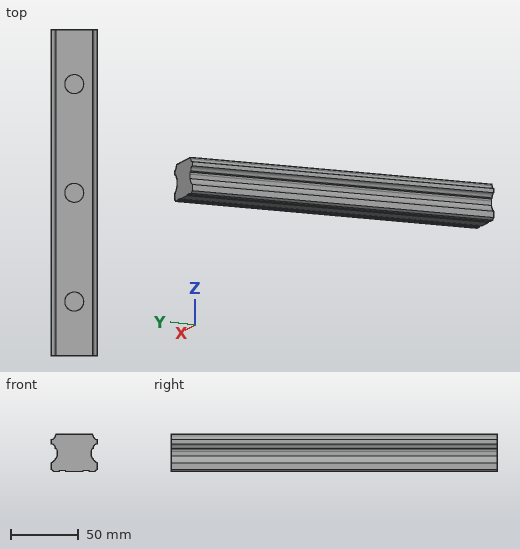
import cadquery as cq
import math

width = 34.0
length = 240.0
height = 27.5

head_top_half_width = 13.4
groove_centre_height = 21.9
rib_half_height = 1.6
groove_radius = 3.0
groove_reach = 2.7
head_lip_half_width = width / 2 - groove_radius

head_underside = 17.0
waist_top = 16.4
waist_top_half_width = 12.9
waist_half_width = 12.6
waist_taper_end = 14.9
waist_bottom = 11.6

foot_shoulder = 6.3
shoulder_hollow = 0.6
foot_chamfer_width = 1.9
foot_chamfer_height = 1.6

relief_inner = 6.5
relief_outer = 10.9
relief_depth = 0.6

cap_pitch = 80.0
cap_count = 3
cap_diameter = 14.0
cap_recess = 0.1


def half_profile():
    """Right half of the cross-section in X and Z, closed along the centre plane."""
    side = width / 2
    rib_top = groove_centre_height + rib_half_height
    rib_bottom = groove_centre_height - rib_half_height
    groove_top = rib_top + groove_reach
    groove_bottom = rib_bottom - groove_reach

    mid_offset = groove_radius * math.sin(math.radians(45))
    upper_mid = (side - mid_offset, rib_top + groove_radius - mid_offset)
    lower_mid = (side - mid_offset, rib_bottom - groove_radius + mid_offset)

    shoulder_run = side - waist_half_width
    shoulder_drop = waist_bottom - foot_shoulder
    shoulder_chord = math.hypot(shoulder_run, shoulder_drop)
    shoulder_mid = (
        (side + waist_half_width) / 2 - shoulder_hollow * shoulder_drop / shoulder_chord,
        (waist_bottom + foot_shoulder) / 2 - shoulder_hollow * shoulder_run / shoulder_chord,
    )

    return (
        cq.Workplane("XZ", origin=(0, length / 2, 0))
        .moveTo(0, height)
        .lineTo(head_top_half_width, height)
        .lineTo(head_lip_half_width, groove_top)
        .threePointArc(upper_mid, (side, rib_top))
        .lineTo(side, rib_bottom)
        .threePointArc(lower_mid, (head_lip_half_width, groove_bottom))
        .lineTo(head_lip_half_width, head_underside)
        .lineTo(waist_top_half_width, waist_top)
        .lineTo(waist_half_width, waist_taper_end)
        .lineTo(waist_half_width, waist_bottom)
        .threePointArc(shoulder_mid, (side, foot_shoulder))
        .lineTo(side, foot_chamfer_height)
        .lineTo(side - foot_chamfer_width, 0)
        .lineTo(relief_outer, 0)
        .lineTo(relief_outer, relief_depth)
        .lineTo(relief_inner, relief_depth)
        .lineTo(relief_inner, 0)
        .lineTo(0, 0)
        .close()
    )


def rail_body():
    """Symmetrical rail, extruded along Y."""
    right_half = half_profile().extrude(length)
    return right_half.union(right_half.mirror("YZ")).clean()


def cap_recesses():
    """Shallow round recesses in a row along the top face."""
    return (
        cq.Workplane("XY", origin=(0, 0, height - cap_recess))
        .rarray(1, cap_pitch, 1, cap_count)
        .circle(cap_diameter / 2)
        .extrude(cap_recess)
    )


result = rail_body().cut(cap_recesses())